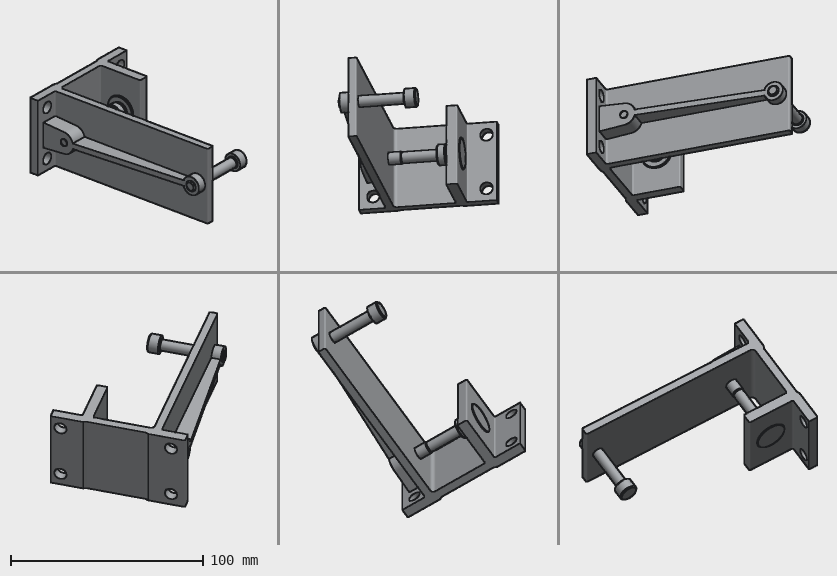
import cadquery as cq
import math


BRACKET_LENGTH = 108.0
PLATE_WIDTH = 73.0
HEIGHT = 44.0
PLATE_THICKNESS = 5.4
FLANGE_BOTTOM = 51.4
FLANGE_THICKNESS = 5.8
FLANGE_TOP = FLANGE_BOTTOM + FLANGE_THICKNESS
FLANGE_REACH = 32.1
ARM_BOTTOM = 14.1
ARM_THICKNESS = 4.4
ARM_TOP = ARM_BOTTOM + ARM_THICKNESS
FLANGE_ROOT_FILLET = 0.8
ARM_BOTTOM_FILLET = 1.0
ARM_TOP_FILLET = 1.9
TIP_FILLET = 0.8
PLATE_EDGE_FILLET = 0.4

RELIEF_DEPTH = 0.8
RELIEF_START = 19.9
RELIEF_END = PLATE_WIDTH - 17.7
RELIEF_SLOPE_RUN = 1.7
RELIEF_FILLET = 1.0

MOUNT_HOLE_DIAMETER = 6.6
MOUNT_HOLE_SPACING_Y = 60.0
MOUNT_HOLE_SPACING_Z = 30.0
MOUNT_HOLE_FIRST_Y = 7.6

SPINDLE_X = 19.0
LUG_BOTTOM = 4.4
LUG_RADIUS = 6.4
LUG_ROOT_WIDTH = 14.7
RIB_THICKNESS = 3.2
RIB_SLOPE_END_X = 94.6
SCREW_X = 101.0
SCREW_BOSS_DIAMETER = 10.6
SCREW_BOSS_BOTTOM = 9.1

PAD_DIAMETER = 17.0
PAD_FACE_DIAMETER = 16.2
UPPER_PAD_HEIGHT = 0.4
LOWER_PAD_HEIGHT = 1.0
LOWER_PAD_RIM = 0.3

THREAD_DIAMETER = 6.0
SCREW_HEAD_DIAMETER = 10.0
SCREW_HEAD_HEIGHT = 6.0
SCREW_HEAD_TOP = 49.2
SCREW_HEAD_CHAMFER = 0.6
SCREW_NECK_DIAMETER = 6.8
SCREW_NECK_LENGTH = 0.8
SCREW_TIP = 8.1
SCREW_TIP_DIAMETER = 4.6

SPINDLE_HEAD_DIAMETER = 11.0
SPINDLE_HEAD_BOTTOM = 44.5
SPINDLE_HEAD_CHAMFER = 0.6
SPINDLE_COLLAR_DIAMETER = 10.4
SPINDLE_COLLAR_BOTTOM = 49.5
SPINDLE_COLLAR_TAPER = 0.8
SLEEVE_DIAMETER = 6.6
SLEEVE_TOP = 25.7
SLEEVE_CHAMFER = 0.6
PILOT_DIAMETER = 4.1
PILOT_RECESS = 0.5


def cylinder(x, y_start, y_end, diameter):
    """Cylinder along Y at the given X, centred on the mid-height plane."""
    axis_start = cq.Vector(x, y_start, 0)
    axis = cq.Vector(0, 1, 0)
    return cq.Workplane(cq.Solid.makeCylinder(diameter / 2, y_end - y_start, axis_start, axis))


def turned(x, profile):
    """Solid of revolution about a Y-parallel axis from (diameter, y) pairs listed from low to high y."""
    edge = [(x + diameter / 2, y) for diameter, y in profile]
    outline = [(x, profile[0][1]), *edge, (x, profile[-1][1])]
    return cq.Workplane("XY").polyline(outline).close().revolve(360, (x, 0), (x, 1))


def slab(x_start, x_end, y_start, y_end):
    """Full-height rectangular block."""
    size = (x_end - x_start, y_end - y_start, HEIGHT)
    return cq.Workplane("XY").box(*size, centered=(False, False, True)).translate((x_start, y_start, 0))


def fillet_edge(body, x, y, radius):
    """Round the full-height edge that passes through (x, y)."""
    return body.edges(cq.selectors.NearestToPointSelector((x, y, 0))).fillet(radius)


def make_extrusion():
    body = slab(0, PLATE_THICKNESS, 0, PLATE_WIDTH)
    body = body.union(slab(0, FLANGE_REACH, FLANGE_BOTTOM, FLANGE_TOP))
    body = body.union(slab(0, BRACKET_LENGTH, ARM_BOTTOM, ARM_TOP))

    for y in (FLANGE_BOTTOM, FLANGE_TOP):
        body = fillet_edge(body, PLATE_THICKNESS, y, FLANGE_ROOT_FILLET)
    body = fillet_edge(body, PLATE_THICKNESS, ARM_BOTTOM, ARM_BOTTOM_FILLET)
    body = fillet_edge(body, PLATE_THICKNESS, ARM_TOP, ARM_TOP_FILLET)
    for y in (FLANGE_BOTTOM, FLANGE_TOP):
        body = fillet_edge(body, FLANGE_REACH, y, TIP_FILLET)
    for y in (ARM_BOTTOM, ARM_TOP):
        body = fillet_edge(body, BRACKET_LENGTH, y, TIP_FILLET)
    for y in (0, PLATE_WIDTH):
        body = fillet_edge(body, 0, y, PLATE_EDGE_FILLET)
    return body


def make_relief():
    floor_start = RELIEF_START + RELIEF_SLOPE_RUN
    floor_end = RELIEF_END - RELIEF_SLOPE_RUN
    outline = [(0, RELIEF_START), (RELIEF_DEPTH, floor_start), (RELIEF_DEPTH, floor_end), (0, RELIEF_END)]
    relief = cq.Workplane("XY").polyline(outline).close().extrude(HEIGHT / 2, both=True)
    for y in (floor_start, floor_end):
        relief = fillet_edge(relief, RELIEF_DEPTH, y, RELIEF_FILLET)
    return relief


def make_mount_holes():
    hole_centre_y = MOUNT_HOLE_FIRST_Y + MOUNT_HOLE_SPACING_Y / 2
    return (
        cq.Workplane("YZ")
        .center(hole_centre_y, 0)
        .rarray(MOUNT_HOLE_SPACING_Y, MOUNT_HOLE_SPACING_Z, 2, 2)
        .circle(MOUNT_HOLE_DIAMETER / 2)
        .extrude(PLATE_THICKNESS)
    )


def make_lug():
    """Lug with straight roots, then sides that run tangent into a round nose."""
    root_x = PLATE_THICKNESS + ARM_BOTTOM_FILLET
    root_z = LUG_ROOT_WIDTH / 2
    run = SPINDLE_X - root_x
    tangent_angle = math.atan2(root_z, -run) - math.acos(LUG_RADIUS / math.hypot(run, root_z))
    tangent_x = SPINDLE_X + LUG_RADIUS * math.cos(tangent_angle)
    tangent_z = LUG_RADIUS * math.sin(tangent_angle)
    return (
        cq.Workplane("XZ", origin=(0, LUG_BOTTOM, 0))
        .moveTo(0, -root_z)
        .lineTo(root_x, -root_z)
        .lineTo(tangent_x, -tangent_z)
        .threePointArc((SPINDLE_X + LUG_RADIUS, 0), (tangent_x, tangent_z))
        .lineTo(root_x, root_z)
        .lineTo(0, root_z)
        .close()
        .extrude(-(ARM_TOP - LUG_BOTTOM))
        .cut(slab(0, PLATE_THICKNESS / 2, 0, PLATE_WIDTH))
    )


def make_rib():
    outline = [
        (SPINDLE_X, ARM_TOP),
        (SPINDLE_X, LUG_BOTTOM),
        (SPINDLE_X + LUG_RADIUS, LUG_BOTTOM),
        (RIB_SLOPE_END_X, SCREW_BOSS_BOTTOM),
        (SCREW_X, SCREW_BOSS_BOTTOM),
        (SCREW_X, ARM_TOP),
    ]
    return cq.Workplane("XY").polyline(outline).close().extrude(RIB_THICKNESS / 2, both=True)


def make_flange_pads():
    profile = [
        (PAD_FACE_DIAMETER, FLANGE_BOTTOM - LOWER_PAD_HEIGHT),
        (PAD_DIAMETER, FLANGE_BOTTOM - LOWER_PAD_RIM),
        (PAD_DIAMETER, FLANGE_TOP),
        (PAD_FACE_DIAMETER, FLANGE_TOP + UPPER_PAD_HEIGHT),
    ]
    return turned(SPINDLE_X, profile)


def make_spindle_hole():
    socket = cylinder(SPINDLE_X, ARM_BOTTOM, ARM_TOP, SLEEVE_DIAMETER)
    pilot = cylinder(SPINDLE_X, LUG_BOTTOM, ARM_BOTTOM, PILOT_DIAMETER)
    return socket.union(pilot)


def make_bracket():
    body = make_extrusion().cut(make_relief())
    body = body.union(make_lug()).union(make_rib()).union(make_flange_pads())
    body = body.union(cylinder(SCREW_X, SCREW_BOSS_BOTTOM, ARM_TOP, SCREW_BOSS_DIAMETER))
    screw_hole = cylinder(SCREW_X, SCREW_BOSS_BOTTOM, ARM_TOP, THREAD_DIAMETER)
    body = body.cut(make_mount_holes()).cut(screw_hole).cut(make_spindle_hole())
    return body.solids()


def make_screw():
    head_bottom = SCREW_HEAD_TOP - SCREW_HEAD_HEIGHT
    tip_chamfer = (THREAD_DIAMETER - SCREW_TIP_DIAMETER) / 2
    profile = [
        (SCREW_TIP_DIAMETER, SCREW_TIP),
        (THREAD_DIAMETER, SCREW_TIP + tip_chamfer),
        (THREAD_DIAMETER, head_bottom - SCREW_NECK_LENGTH),
        (SCREW_NECK_DIAMETER, head_bottom),
        (SCREW_HEAD_DIAMETER, head_bottom),
        (SCREW_HEAD_DIAMETER, SCREW_HEAD_TOP - SCREW_HEAD_CHAMFER),
        (SCREW_HEAD_DIAMETER - 2 * SCREW_HEAD_CHAMFER, SCREW_HEAD_TOP),
    ]
    return turned(SCREW_X, profile)


def make_spindle():
    profile = [
        (PILOT_DIAMETER, LUG_BOTTOM + PILOT_RECESS),
        (PILOT_DIAMETER, ARM_BOTTOM),
        (SLEEVE_DIAMETER, ARM_BOTTOM),
        (SLEEVE_DIAMETER, SLEEVE_TOP - SLEEVE_CHAMFER),
        (THREAD_DIAMETER, SLEEVE_TOP),
        (THREAD_DIAMETER, SPINDLE_HEAD_BOTTOM),
        (SPINDLE_HEAD_DIAMETER - 2 * SPINDLE_HEAD_CHAMFER, SPINDLE_HEAD_BOTTOM),
        (SPINDLE_HEAD_DIAMETER, SPINDLE_HEAD_BOTTOM + SPINDLE_HEAD_CHAMFER),
        (SPINDLE_HEAD_DIAMETER, SPINDLE_COLLAR_BOTTOM - SPINDLE_COLLAR_TAPER),
        (SPINDLE_COLLAR_DIAMETER, SPINDLE_COLLAR_BOTTOM),
        (SPINDLE_COLLAR_DIAMETER, FLANGE_BOTTOM - LOWER_PAD_HEIGHT),
    ]
    return turned(SPINDLE_X, profile)


bracket = make_bracket()
screw = make_screw()
spindle = make_spindle()

result = cq.Compound.makeCompound([bracket.val(), screw.val(), spindle.val()])